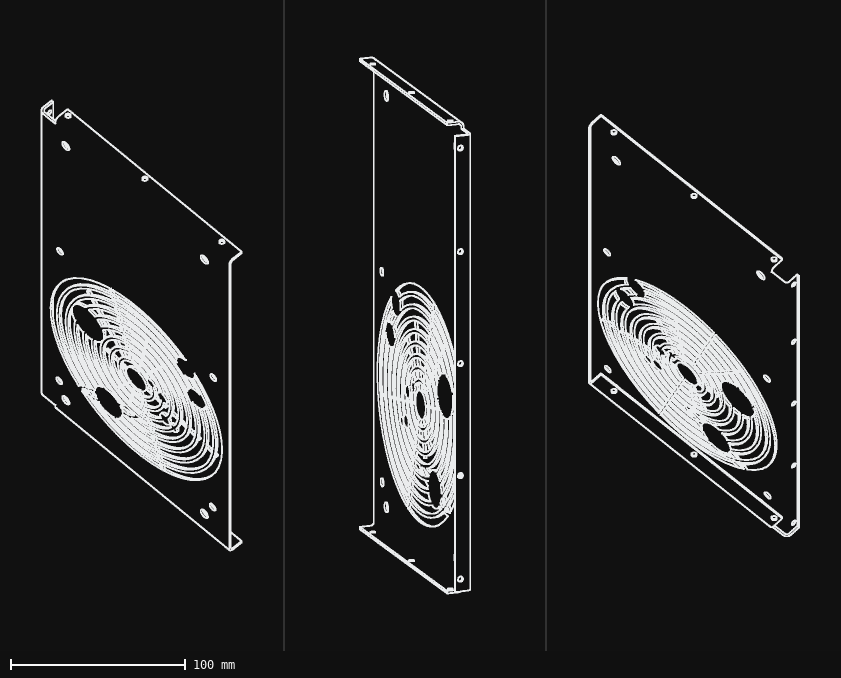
import cadquery as cq
import math


width = 155.0
depth = 10.0
height = 280.0
thickness = 1.5
bend_radius = 3.5
corner_relief_x = 13.2
corner_relief_z = 4.5
front = -depth / 2
back = depth / 2
left = -width / 2
right = width / 2

flange_hole_diameter = 3.0
flange_hole_y = back - 3.0
flange_hole_pitch_x = 62.7
side_hole_heights = (0.0, 66.5, 128.2)
mount_hole_diameter = 6.0
mount_hole_center_x = 0.8
mount_hole_pitch_x = 113.0
mount_hole_pitch_z = 244.7
fan_hole_diameter = 4.8
fan_hole_pitch = 125.2
fan_hole_twist = -0.25

guard_x = 1.82
guard_z = -46.5
guard_radius = 70.0
sun_radius = 8.5
spoke_root = 7.0
first_orbit = 14.0
last_orbit = 63.8
orbit_width = 2.2
wide_spoke = 1.5
narrow_spoke = 0.8
spokes = (
    (57.0, 14.0, 41.0, narrow_spoke),
    (237.0, spoke_root, 27.7, narrow_spoke),
    (79.2, spoke_root, 49.5, narrow_spoke),
    (259.2, 11.2, 30.8, narrow_spoke),
    (107.9, 14.0, 28.3, wide_spoke),
    (107.9, 32.2, 56.8, wide_spoke),
    (107.9, 60.0, 70.0, wide_spoke),
    (287.9, spoke_root, 70.0, wide_spoke),
    (130.8, 14.0, 61.0, wide_spoke),
    (170.2, spoke_root, 25.2, narrow_spoke),
    (350.2, spoke_root, 24.5, narrow_spoke),
    (350.2, 28.3, 52.0, narrow_spoke),
    (350.2, 56.8, 66.5, narrow_spoke),
)
planets = (
    (31.5, 3.0),
    (5.8, 4.0),
    (-34.4, 4.0),
    (-30.2, 2.8),
    (158.2, 13.2),
    (242.9, 11.2),
    (30.3, 7.3),
    (51.0, 7.5),
)
orbit_pitch = (last_orbit - first_orbit) / (len(planets) - 1)
saturn_index = 5
saturn_ring_outer = (26.0, 5.0)
saturn_ring_inner = (22.5, 2.5)
saturn_ring_tilt = 20.0


def orbit_radius(index):
    return first_orbit + index * orbit_pitch


def face_plane(x=0.0, z=0.0):
    """Plane on the front of the sheet, with local X to the right, local Y up and its normal toward -Y."""
    return cq.Workplane("XZ", origin=(x, front, z))


def through_sheet(sketch):
    return sketch.extrude(-thickness)


def left_fold():
    """Face and left flange as one L section."""
    inner_radius = bend_radius - thickness
    diagonal = math.sqrt(0.5)
    bend_x = left + bend_radius
    bend_y = front + bend_radius
    half_length = height / 2 - corner_relief_z
    return (
        cq.Workplane("XY", origin=(0, 0, -half_length))
        .moveTo(right, front)
        .lineTo(bend_x, front)
        .threePointArc((bend_x - bend_radius * diagonal, bend_y - bend_radius * diagonal), (left, bend_y))
        .lineTo(left, back)
        .lineTo(left + thickness, back)
        .lineTo(left + thickness, bend_y)
        .threePointArc(
            (bend_x - inner_radius * diagonal, bend_y - inner_radius * diagonal),
            (bend_x, front + thickness),
        )
        .lineTo(right, front + thickness)
        .close()
        .extrude(2 * half_length)
    )


def top_and_bottom_folds():
    """Face with top and bottom flanges as one channel section."""
    length = width - corner_relief_x
    channel_x = left + corner_relief_x + length / 2

    def block(half_height, y_start, y_end):
        return cq.Workplane("XY").box(length, y_end - y_start, 2 * half_height).translate(
            (channel_x, (y_start + y_end) / 2, 0)
        )

    outside = block(height / 2, front, back).edges("|X and <Y").fillet(bend_radius)
    inside = block(height / 2 - thickness, front + thickness, back)
    inside = inside.edges("|X and <Y").fillet(bend_radius - thickness)
    return outside.cut(inside)


def flange_holes():
    horizontal = (
        cq.Workplane("XY", origin=(guard_x, flange_hole_y, 0))
        .pushPoints([(step * flange_hole_pitch_x, 0) for step in (-1, 0, 1)])
        .circle(flange_hole_diameter / 2)
        .extrude(height, both=True)
    )
    heights = sorted({sign * z for z in side_hole_heights for sign in (-1, 1)})
    side = (
        cq.Workplane("YZ", origin=(left, 0, 0))
        .pushPoints([(flange_hole_y, z) for z in heights])
        .circle(flange_hole_diameter / 2)
        .extrude(bend_radius)
    )
    return horizontal.union(side)


def face_holes():
    mounts = through_sheet(
        face_plane(mount_hole_center_x)
        .rect(mount_hole_pitch_x, mount_hole_pitch_z, forConstruction=True)
        .vertices()
        .circle(mount_hole_diameter / 2)
    )
    fan = through_sheet(
        face_plane(guard_x, guard_z)
        .transformed(rotate=(0, 0, fan_hole_twist))
        .rect(fan_hole_pitch, fan_hole_pitch, forConstruction=True)
        .vertices()
        .circle(fan_hole_diameter / 2)
    )
    return mounts.union(fan)


def guard_disc(radius, distance=0.0, angle=0.0):
    """Disc of sheet at a polar position about the guard centre."""
    x = guard_x + distance * math.cos(math.radians(angle))
    z = guard_z + distance * math.sin(math.radians(angle))
    return through_sheet(face_plane(x, z).circle(radius))


def saturn_ring():
    distance = orbit_radius(saturn_index)
    angle = math.radians(planets[saturn_index][0])
    plane = face_plane(
        guard_x + distance * math.cos(angle), guard_z + distance * math.sin(angle)
    ).transformed(rotate=(0, 0, saturn_ring_tilt))
    return through_sheet(plane.ellipse(*saturn_ring_outer).ellipse(*saturn_ring_inner))


def guard():
    bars = guard_disc(sun_radius)
    for index, (angle, radius) in enumerate(planets):
        orbit = orbit_radius(index)
        outer = guard_disc(orbit + orbit_width / 2)
        inner = guard_disc(orbit - orbit_width / 2)
        bars = bars.union(outer.cut(inner))
        bars = bars.union(guard_disc(radius, orbit, angle))
    for angle, start, end, spoke_width in spokes:
        plane = face_plane(guard_x, guard_z).transformed(rotate=(0, 0, angle))
        spoke = through_sheet(plane.center((start + end) / 2, 0).rect(end - start, spoke_width))
        bars = bars.union(spoke)
    return bars.union(saturn_ring())


opening = guard_disc(guard_radius).cut(guard())
panel = left_fold().union(top_and_bottom_folds())
result = panel.cut(opening).cut(face_holes()).cut(flange_holes())